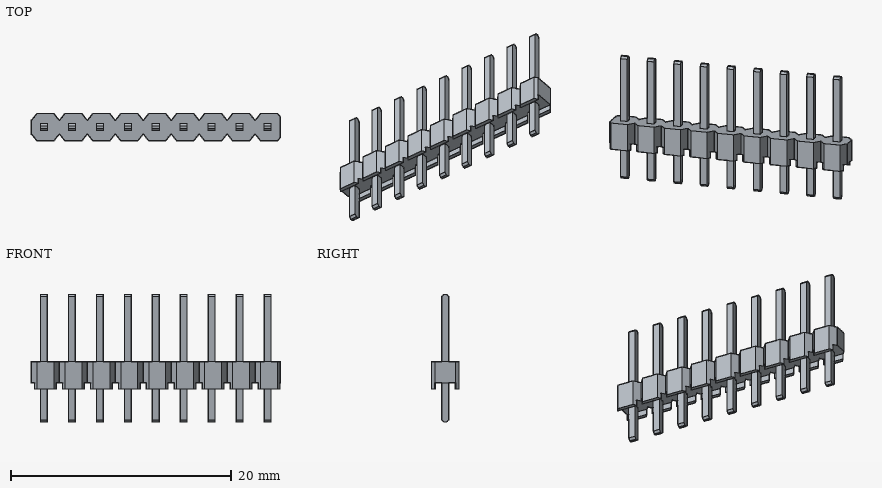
import cadquery as cq

pin_count = 9
pitch = 2.54

housing_length = 22.62
housing_depth = 2.5
housing_height = 2.5
waist_depth = 1.28
flat_length = 1.54
neck_length = 0.03
bevel_length = (pitch - neck_length - flat_length) / 2

foot_length = 2.0
foot_height = 0.55
channel_depth = 1.8

pin_width = 0.64
pin_above = 6.1
pin_below = 3.0
pin_tip_bevel = 0.2
first_pin_from_end = 1.15

left_end = -housing_length / 2
first_pin_x = left_end + first_pin_from_end
pin_length = pin_above + housing_height + pin_below


def position_start(index):
    """X of the left edge of one housing position."""
    return left_end + index * pitch


def make_position(index):
    """One housing position: a short neck, then an eight-sided block."""
    x_start = position_start(index)
    x_block = x_start + neck_length
    x_flat_start = x_block + bevel_length
    x_flat_end = x_flat_start + flat_length
    x_end = x_start + pitch
    half_depth = housing_depth / 2
    half_waist = waist_depth / 2
    outline = [
        (x_start, -half_waist),
        (x_block, -half_waist),
        (x_flat_start, -half_depth),
        (x_flat_end, -half_depth),
        (x_end, -half_waist),
        (x_end, half_waist),
        (x_flat_end, half_depth),
        (x_flat_start, half_depth),
        (x_block, half_waist),
        (x_start, half_waist),
    ]
    return cq.Workplane("XY").polyline(outline).close().extrude(housing_height)


def make_housing():
    """Row of joined positions, with the last one cut short at the housing length."""
    row = make_position(0)
    for index in range(1, pin_count):
        row = row.union(make_position(index))
    envelope = cq.Workplane("XY").box(
        housing_length, housing_depth, housing_height, centered=(True, True, False)
    )
    return row.intersect(envelope)


def cut_feet(housing):
    """Cut the lengthwise channel and the gaps between positions, leaving the feet."""
    channel = cq.Workplane("XY").box(
        housing_length, channel_depth, foot_height, centered=(True, True, False)
    )
    housing = housing.cut(channel)
    gap = cq.Workplane("XY").box(
        pitch - foot_length, housing_depth, foot_height, centered=(True, True, False)
    )
    for index in range(pin_count + 1):
        neck_center = position_start(index) + neck_length / 2
        housing = housing.cut(gap.translate((neck_center, 0, 0)))
    return housing


def make_pin(index):
    """Square pin with its front and back edges bevelled at both tips."""
    return (
        cq.Workplane("XY")
        .box(pin_width, pin_width, pin_length, centered=(True, True, False))
        .faces("<Z or >Z")
        .edges("|X")
        .chamfer(pin_tip_bevel)
        .translate((first_pin_x + index * pitch, 0, -pin_below))
    )


result = cut_feet(make_housing())
for pin_index in range(pin_count):
    result = result.union(make_pin(pin_index))